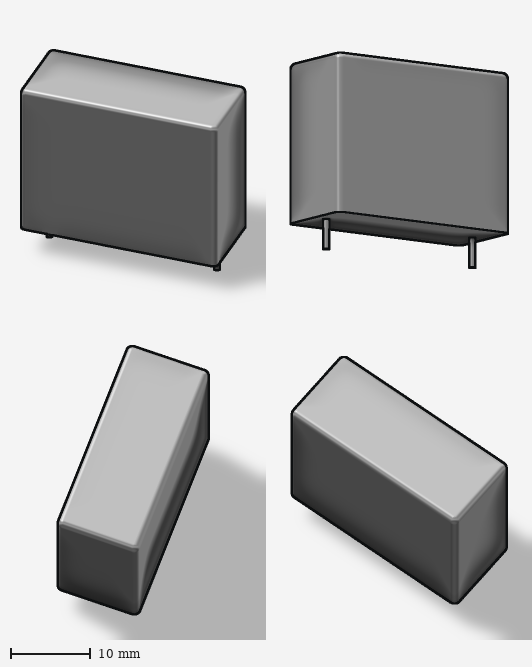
import cadquery as cq

housing_length = 26.5
housing_width = 11.0
housing_height = 20.5
edge_radius = 0.8

pin_diameter = 0.8
pin_length = 3.8
pin_spacing = 22.5


def make_housing():
    """Block standing on Z = 0, with a flat, sharp-edged underside."""
    block = cq.Workplane("XY").box(
        housing_length, housing_width, housing_height, centered=(True, True, False)
    )
    return block.edges("|Z or >Z").fillet(edge_radius)


def make_pin(x):
    """Round lead hanging from the underside of the housing at the given X."""
    return cq.Workplane("XY").center(x, 0).circle(pin_diameter / 2).extrude(-pin_length)


housing = make_housing()
pins = [make_pin(side * pin_spacing / 2) for side in (-1, 1)]

result = cq.Compound.makeCompound([housing.val(), *[pin.val() for pin in pins]])